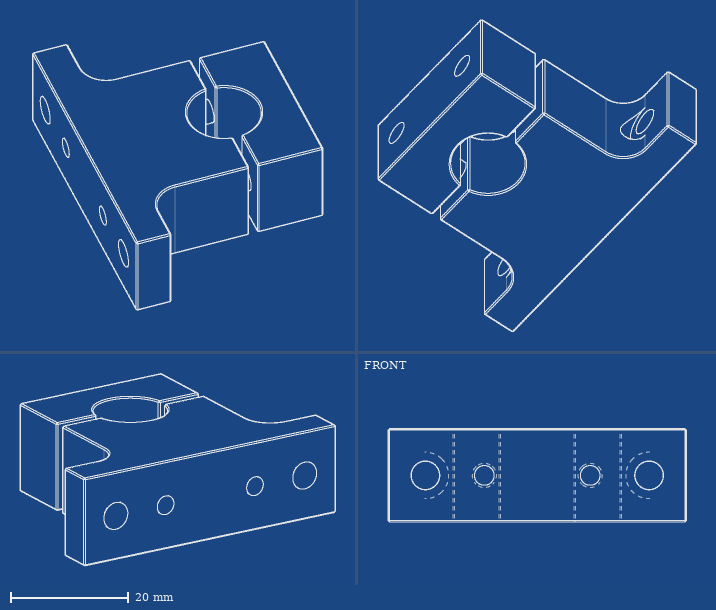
import cadquery as cq

base_length = 50.8
total_height = 38.1
depth = 15.9

base_thickness = 6.35
block_width = 28.7
flank_radius = 4.8
edge_chamfer = 0.25

bore_diameter = 12.7
bore_height = 25.4
clamp_gap = 1.6
housing_top = bore_height - clamp_gap / 2
cap_bottom = bore_height + clamp_gap / 2

mount_spacing = 38.1
mount_diameter = 4.85
spotface_diameter = 7.9

screw_spacing = 18.05
screw_diameter = 4.1
pilot_diameter = 3.35
screw_engagement = 12.7
screw_bottom = housing_top - screw_engagement


def cylinder_y(x, diameter, start, end):
    """Cylinder along Y between two heights, centred in Z."""
    axis_start = cq.Vector(x, start, 0)
    return cq.Workplane(cq.Solid.makeCylinder(diameter / 2, end - start, axis_start, cq.Vector(0, 1, 0)))


def mirrored(spacing):
    """X positions of a pair placed symmetrically about the centre plane."""
    return (-spacing / 2, spacing / 2)


def bored_block(outline):
    """Extrude an outline through the depth, cut the shaft bore and chamfer all sharp edges."""
    block = outline.extrude(depth / 2, both=True)
    bore = cq.Workplane("XY").center(0, bore_height).circle(bore_diameter / 2).extrude(depth, both=True)
    return block.cut(bore).edges().chamfer(edge_chamfer)


def make_housing():
    """T-shaped base with the lower half of the bore, flank fillets, mounting and screw holes."""
    half_base = base_length / 2
    half_block = block_width / 2
    flank_top = base_thickness + flank_radius
    flank_foot = half_block + flank_radius
    outline = (
        cq.Workplane("XY")
        .moveTo(-half_base, 0)
        .lineTo(half_base, 0)
        .lineTo(half_base, base_thickness)
        .lineTo(flank_foot, base_thickness)
        .radiusArc((half_block, flank_top), flank_radius)
        .lineTo(half_block, housing_top)
        .lineTo(-half_block, housing_top)
        .lineTo(-half_block, flank_top)
        .radiusArc((-flank_foot, base_thickness), flank_radius)
        .lineTo(-half_base, base_thickness)
        .close()
    )
    housing = bored_block(outline)
    for x in mirrored(mount_spacing):
        housing = housing.cut(cylinder_y(x, mount_diameter, 0, base_thickness))
        housing = housing.cut(cylinder_y(x, spotface_diameter, base_thickness, housing_top))
    for x in mirrored(screw_spacing):
        housing = housing.cut(cylinder_y(x, pilot_diameter, 0, screw_bottom))
        housing = housing.cut(cylinder_y(x, screw_diameter, screw_bottom, housing_top))
    return housing


def make_cap():
    """Rectangular clamp cap with the upper half of the bore and screw holes."""
    cap_height = total_height - cap_bottom
    outline = (
        cq.Workplane("XY")
        .center(0, cap_bottom + cap_height / 2)
        .rect(block_width, cap_height)
    )
    cap = bored_block(outline)
    for x in mirrored(screw_spacing):
        cap = cap.cut(cylinder_y(x, screw_diameter, cap_bottom, total_height))
    return cap


def make_screw(x):
    """Plain screw shank, flush with the top of the cap."""
    return cylinder_y(x, screw_diameter, screw_bottom, total_height)


housing = make_housing()
cap = make_cap()
screws = [make_screw(x) for x in mirrored(screw_spacing)]

result = cq.Compound.makeCompound([housing.val(), cap.val(), *[screw.val() for screw in screws]])